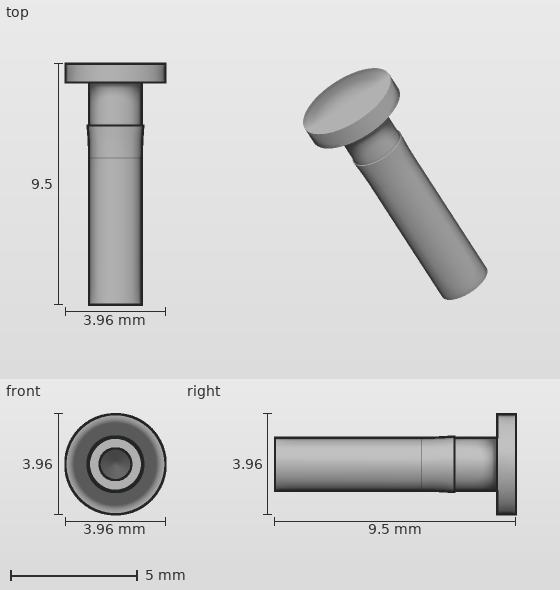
import cadquery as cq
import math

total_length = 9.5
head_diameter = 3.96
head_thickness = 0.75
shank_diameter = 2.09

collar_diameter = 2.2
collar_start = 2.43
collar_length = 1.29

hole_diameter = 1.25
hole_depth = 5.7
drill_point_angle = 118.0

head_face_y = total_length - head_thickness
collar_wide_y = total_length - collar_start
collar_narrow_y = collar_wide_y - collar_length


def make_body():
    """Revolve the stepped outer profile about the Y axis."""
    shank_radius = shank_diameter / 2
    profile = (
        cq.Workplane("XY")
        .lineTo(shank_radius, 0)
        .lineTo(shank_radius, collar_narrow_y)
        .tangentArcPoint((collar_diameter / 2, collar_wide_y), relative=False)
        .lineTo(shank_radius, collar_wide_y)
        .lineTo(shank_radius, head_face_y)
        .lineTo(head_diameter / 2, head_face_y)
        .lineTo(head_diameter / 2, total_length)
        .lineTo(0, total_length)
        .close()
    )
    return profile.revolve(360, (0, 0, 0), (0, 1, 0))


def make_hole():
    """Revolve the cylindrical hole and its conical bottom about the Y axis."""
    hole_radius = hole_diameter / 2
    point_depth = hole_radius / math.tan(math.radians(drill_point_angle / 2))
    profile = (
        cq.Workplane("XY")
        .lineTo(hole_radius, 0)
        .lineTo(hole_radius, hole_depth)
        .lineTo(0, hole_depth + point_depth)
        .close()
    )
    return profile.revolve(360, (0, 0, 0), (0, 1, 0))


result = make_body().cut(make_hole())